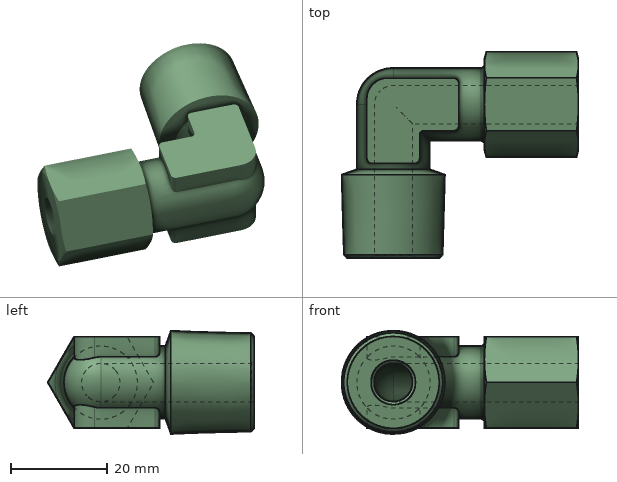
import cadquery as cq
import math

overall_length = 49.25
plug_large_diameter = 21.55

leg_diameter = 15.2
leg_radius = leg_diameter / 2

across_flats = 19.0
corner_radius = across_flats / math.sqrt(3)
nut_start = 18.95
nut_end = overall_length - plug_large_diameter / 2
nut_length = nut_end - nut_start
nut_chamfer_length = 0.4

cove_radius = 0.75

plug_end = 31.95
shoulder_start = 13.5
shoulder_end = 14.65
plug_small_diameter = 20.6
plug_face_diameter = 19.1
plug_chamfer_length = 0.75

pad_height = across_flats
pad_half_width = 5.45
pad_x_end = 13.6
pad_y_end = 12.25
pad_elbow_radius = 4.2
pad_edge_radius = 1.0

bore_diameter = 8.0
bore_radius = bore_diameter / 2
bore_mouth_diameter = 9.25
bore_mouth_depth = (bore_mouth_diameter - bore_diameter) / 2


def angle_pipe(radius, x_end, y_end):
    """Two round legs joined by a ball at the corner."""
    x_leg = cq.Workplane("YZ").circle(radius).extrude(x_end)
    y_leg = cq.Workplane("XZ").circle(radius).extrude(y_end)
    return x_leg.union(y_leg).union(cq.Workplane("XY").sphere(radius))


def turned_on_x(profile):
    """Turn a profile of (x, radius) points about the X axis."""
    return cq.Workplane("XY").polyline(profile).close().revolve(360, (0, 0, 0), (1, 0, 0))


def turned_on_y(profile):
    """Turn a profile of (radius, y) points about the Y axis."""
    return cq.Workplane("XY").polyline(profile).close().revolve(360, (0, 0, 0), (0, 1, 0))


def wrench_pads():
    outline = [
        (-pad_half_width, pad_half_width),
        (pad_x_end, pad_half_width),
        (pad_x_end, -pad_half_width),
        (pad_half_width, -pad_half_width),
        (pad_half_width, -pad_y_end),
        (-pad_half_width, -pad_y_end),
    ]
    pads = cq.Workplane("XY").polyline(outline).close().extrude(pad_height / 2, both=True)
    corner_radii = [pad_elbow_radius] + [pad_edge_radius] * (len(outline) - 1)
    for (x, y), radius in zip(outline, corner_radii):
        corner = cq.selectors.NearestToPointSelector((x, y, 0))
        pads = pads.edges("|Z").edges(corner).fillet(radius)
    return pads


def male_end():
    return turned_on_y([
        (0, -shoulder_start),
        (leg_radius, -shoulder_start),
        (plug_large_diameter / 2, -shoulder_end),
        (plug_small_diameter / 2, -plug_end + plug_chamfer_length),
        (plug_face_diameter / 2, -plug_end),
        (0, -plug_end),
    ])


def cove():
    """Quarter-round flare from the leg surface up the nut face."""
    start_x = nut_start - cove_radius
    center_radius = leg_radius + cove_radius
    diagonal = cove_radius * math.sqrt(0.5)
    return (
        cq.Workplane("XY")
        .moveTo(start_x, 0)
        .lineTo(start_x, leg_radius)
        .threePointArc((start_x + diagonal, center_radius - diagonal), (nut_start, center_radius))
        .lineTo(nut_start, 0)
        .close()
        .revolve(360, (0, 0, 0), (1, 0, 0))
    )


def nut():
    hexagon = (
        cq.Workplane("YZ", origin=(nut_start, 0, 0))
        .polygon(6, 2 * corner_radius)
        .extrude(nut_length)
    )
    envelope = turned_on_x([
        (nut_start, 0),
        (nut_start, across_flats / 2),
        (nut_start + nut_chamfer_length, corner_radius),
        (nut_end - nut_chamfer_length, corner_radius),
        (nut_end, across_flats / 2),
        (nut_end, 0),
    ])
    return hexagon.intersect(envelope)


def bore_mouth():
    return turned_on_y([
        (0, -plug_end),
        (bore_mouth_diameter / 2, -plug_end),
        (bore_radius, -plug_end + bore_mouth_depth),
        (0, -plug_end + bore_mouth_depth),
    ])


body = angle_pipe(leg_radius, nut_start, shoulder_start)
for feature in (wrench_pads(), male_end(), cove(), nut()):
    body = body.union(feature)

passage = angle_pipe(bore_radius, nut_end, plug_end)
result = body.cut(passage).cut(bore_mouth())